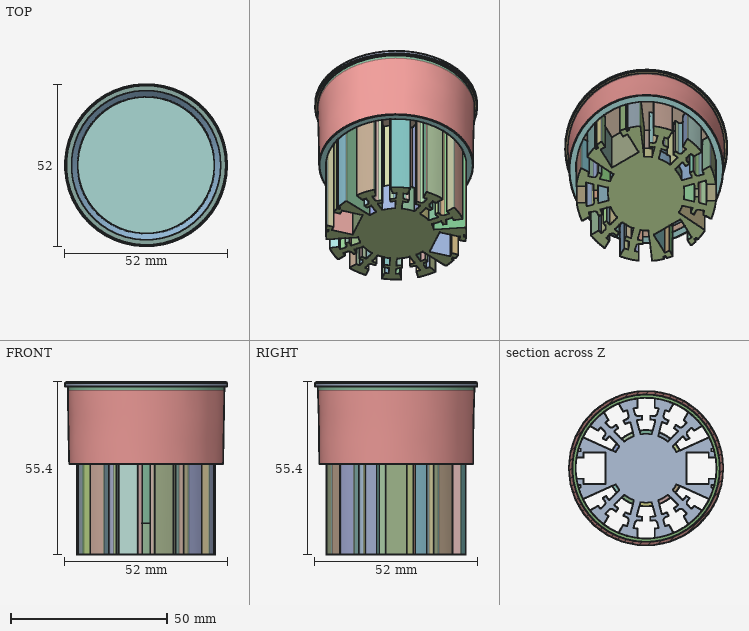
import cadquery as cq
import math

total_height = 55.4
housing_bottom = 29.0
heatsink_top = 36.4
tolerance = 0.01

flange_radius = 52.0 / 2
flange_thickness = 1.7
flange_top_chamfer = 0.5
flange_bottom_chamfer = 0.2
neck_radius = 47.1 / 2
cone_top_radius = 23.9
window_radius = 43.7 / 2
cone_depth = 2.3
window_land = 0.4
flange_bottom = total_height - flange_thickness
lens_top = total_height - cone_depth - window_land

lens_radius = 44.2 / 2
lens_thickness = 2.0
lens_bottom = lens_top - lens_thickness

housing_top_radius = 50.22 / 2
housing_bottom_radius = 24.7
taper_start = flange_bottom - 1.05
housing_edge_chamfer = 0.2

heatsink_radius = 45.0 / 2
core_radius = 22.0 / 2
collar_radius = 12.25
collar_height = 10.0
fin_pitch = 30.0
stem_thickness = 2.2
stem_start = core_radius - 1.0
outer_rim_inside = 19.5
stem_end = outer_rim_inside + 1.0
outer_slot_width = 5.4
inner_rim_inside = 15.6
inner_rim_outside = 16.9
inner_slot_width = 2.6
root_fillet = 1.0
rim_corner_radius = 0.2

channel_floor = 13.0
channel_mouth = 6.7
channel_width = 10.0
channel_lip_inside = 20.0
cheek_root = (8.5, 4.63)
cheek_tip = (23.0, 11.2)
groove_offset = 5.8
groove_width = 0.75
groove_depth = 0.8


def disc(radius, bottom, top):
    return cq.Workplane("XY").workplane(offset=bottom).circle(radius).extrude(top - bottom)


def heatsink_box(x_start, x_end, width, y_center=0):
    """Full-height block of the heat sink, running outward along +X."""
    box = cq.Workplane("XY").box(x_end - x_start, width, heatsink_top, centered=(False, True, False))
    return box.translate((x_start, y_center, 0))


def turned(shape, angle):
    return shape.rotate((0, 0, 0), (0, 0, 1), angle)


def rim_sector(inside, outside, slot_width):
    """Piece of a ring centred on +X, ending at the parallel-walled slots half a pitch away."""
    ring = disc(outside, 0, heatsink_top).cut(disc(inside, 0, heatsink_top))
    half_pitch = math.radians(fin_pitch / 2)
    apex = slot_width / 2 / math.sin(half_pitch)
    reach = 2 * outside
    rise = (reach - apex) * math.tan(half_pitch)
    wedge = (
        cq.Workplane("XY")
        .polyline([(apex, 0), (reach, rise), (reach, -rise)])
        .close()
        .extrude(heatsink_top)
    )
    return ring.intersect(wedge)


def on_circle(edge, radius):
    center = edge.Center()
    return abs(math.hypot(center.x, center.y) - radius) < tolerance


def on_outer_rim(edge):
    return on_circle(edge, heatsink_radius)


def round_vertical_edges(shape, wanted, radius):
    edges = [edge for edge in shape.edges("|Z").vals() if wanted(edge)]
    return shape.newObject(edges).fillet(radius)


def make_fin():
    """Radial stem carrying an inner rib and an outer T-head."""
    fin = heatsink_box(stem_start, stem_end, stem_thickness)
    fin = fin.union(rim_sector(inner_rim_inside, inner_rim_outside, inner_slot_width))
    fin = fin.union(rim_sector(outer_rim_inside, heatsink_radius, outer_slot_width))
    fin = round_vertical_edges(fin, on_outer_rim, rim_corner_radius)

    def is_root(edge):
        at_stem = abs(abs(edge.Center().y) - stem_thickness / 2) < tolerance
        return at_stem and on_circle(edge, inner_rim_outside)

    return round_vertical_edges(fin, is_root, root_fillet)


def make_channel():
    """Pair of fins on +X that enclose an undercut T-channel."""
    root_x, root_y = cheek_root
    tip_x, tip_y = cheek_tip
    block = (
        cq.Workplane("XY")
        .polyline([(root_x, root_y), (tip_x, tip_y), (tip_x, -tip_y), (root_x, -root_y)])
        .close()
        .extrude(heatsink_top)
        .intersect(disc(heatsink_radius, 0, heatsink_top))
    )
    block = block.cut(heatsink_box(channel_floor, channel_lip_inside, channel_width))
    block = block.cut(heatsink_box(channel_floor, tip_x, channel_mouth))
    block = round_vertical_edges(block, on_outer_rim, rim_corner_radius)
    for side in (-1, 1):
        groove_y = side * groove_offset
        groove_floor = math.sqrt(heatsink_radius**2 - groove_offset**2) - groove_depth
        block = block.cut(heatsink_box(groove_floor, tip_x, groove_width, groove_y))
    return block


def make_heatsink():
    body = disc(core_radius, 0, heatsink_top).union(disc(collar_radius, 0, collar_height))
    fin = make_fin()
    for side_angle in (90, 270):
        for step in (-1.5, -0.5, 0.5, 1.5):
            body = body.union(turned(fin, side_angle + step * fin_pitch))
    channel = make_channel()
    for side_angle in (0, 180):
        body = body.union(turned(channel, side_angle))
    return body


def make_housing():
    """Tapered sleeve: narrow bore around the heat sink, wider bore for the trim neck."""
    return (
        cq.Workplane("XZ")
        .polyline([
            (heatsink_radius, housing_bottom),
            (housing_bottom_radius - housing_edge_chamfer, housing_bottom),
            (housing_bottom_radius, housing_bottom + housing_edge_chamfer),
            (housing_top_radius, taper_start),
            (housing_top_radius, flange_bottom),
            (neck_radius, flange_bottom),
            (neck_radius, heatsink_top),
            (heatsink_radius, heatsink_top),
        ])
        .close()
        .revolve(360, (0, 0), (0, 1))
    )


def make_trim_ring():
    """Flanged ring with a conical window; its neck holds the lens from below."""
    return (
        cq.Workplane("XZ")
        .polyline([
            (cone_top_radius, total_height),
            (flange_radius - flange_top_chamfer, total_height),
            (flange_radius, total_height - flange_top_chamfer),
            (flange_radius, flange_bottom + flange_bottom_chamfer),
            (flange_radius - flange_bottom_chamfer, flange_bottom),
            (neck_radius, flange_bottom),
            (neck_radius, lens_bottom),
            (lens_radius, lens_bottom),
            (lens_radius, lens_top),
            (window_radius, lens_top),
            (window_radius, lens_top + window_land),
        ])
        .close()
        .revolve(360, (0, 0), (0, 1))
    )


housing = make_housing()
trim_ring = make_trim_ring()
lens = disc(lens_radius, lens_bottom, lens_top)
heatsink = make_heatsink()

result = cq.Compound.makeCompound([
    housing.val(),
    trim_ring.val(),
    lens.val(),
    heatsink.val(),
])